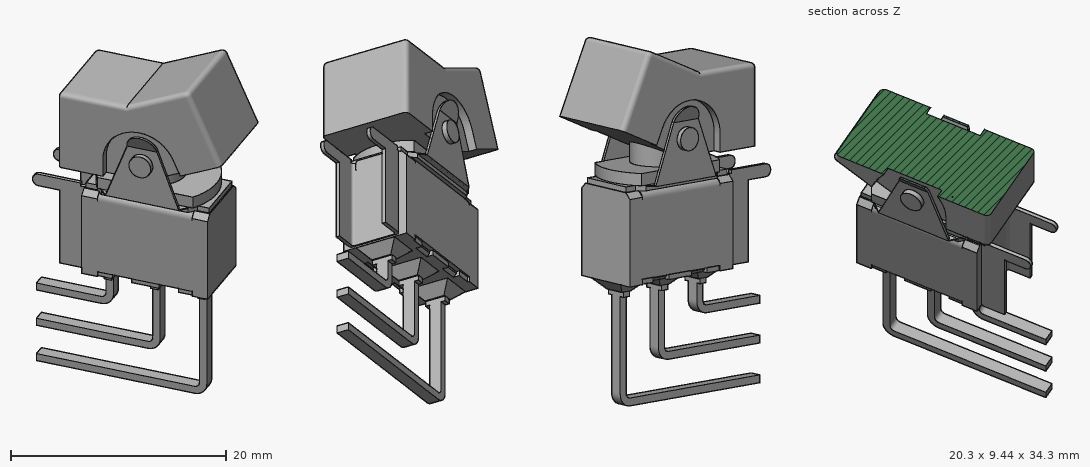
import cadquery as cq
import math


PIVOT_Z = 13.35
PIN_DIA = 2.2
PIN_TIP_Y = 4.6

BODY_X = 12.67
BODY_Y = 6.85
BODY_TOP = 8.85
BODY_CHAMFER = 0.55
SHOULDER_X = 9.55
SHOULDER_RADIUS = 0.75
NOTCH_X = 9.55
NOTCH_HEIGHT = 0.5
NOTCH_DEPTH = 0.17
GAP_X = 1.92
GAP_DEPTH = 0.5
GAP_BEVEL = 0.3

PLATE_TOP = 9.37
FOOT_THICKNESS = 0.1
PLATE_END_HALF_Y = 2.75
PLATE_HALF_X = 6.2
SHEET = 0.38

TAB_OUTER_Y = 4.1
TAB_THICKNESS = 0.27
TAB_BASE_HALF_X = 3.7
TAB_NECK_HALF_X = 1.5
TAB_NECK_Z = PIVOT_Z + 1.68
TONGUE_TIP_Y = 4.72
TONGUE_TIP_Z = PIVOT_Z + 3.12

LEG_FOLD_X = -6.75
FOLD_INNER_RADIUS = 0.27
LEG_EDGE_X = -8.85
LEG_TIP_X = -11.6
LEG_TOP = 9.2
LEG_BOTTOM = 0.17
LEG_OUTER_Y = 2.7
ARM_HEIGHT = 1.25
BEND_HALF_Y = 2.03
BEND_RADIUS = 0.7

FLANGE_RADIUS = 5.85
FLANGE_Y = 6.63
FLANGE_TOP = 10.55
NECK_DIA = 5.2

ROCKER_Y = 9.3
ROCKER_TURN = 25.0
ROCKER_REACH = 8.25
ROCKER_BOTTOM = -1.75
ROCKER_END_TOP = 6.15
VALLEY_HEIGHT = 6.3
ROCKER_FILLET = 0.48
RECESS_RADIUS = 3.7
RECESS_FLOOR_Y = TAB_OUTER_Y - TAB_THICKNESS

TERMINAL_PITCH = 4.7
TERMINAL_THICKNESS = 0.75
TERMINAL_WIDTH = 1.25
TERMINAL_END_X = -12.1
FIRST_ROW_Z = -4.15
ROW_STEP = 3.78
TERMINAL_OUTER_RADIUS = 1.25
COLLAR_WIDTH = 2.13
COLLAR_BOTTOM = -1.55
SEAL_LENGTH = 4.2
SEAL_WIDTH = 3.2
SEAL_HEIGHT = 1.05
SEAL_TAPER = 45.0

SIDES = (-1, 1)


def box(x0, x1, y0, y1, z0, z1):
    """Box between two corners, given in any order."""
    size = (abs(x1 - x0), abs(y1 - y0), abs(z1 - z0))
    centre = ((x0 + x1) / 2, (y0 + y1) / 2, (z0 + z1) / 2)
    return cq.Workplane("XY").box(*size).translate(centre)


def xz_slab(outline, y0, y1):
    """Extrude a closed XZ outline from y0 to y1, given in any order."""
    slab = outline(cq.Workplane("XZ")).close().extrude(abs(y1 - y0))
    return slab.translate((0, max(y0, y1), 0))


def make_gap(gap_x, face_y, side):
    """Cutter for the space between two seals, with a bevelled back lower edge."""
    back_y = face_y - side * GAP_DEPTH
    section = [
        (face_y, 0), (back_y - side * GAP_BEVEL, 0), (back_y, GAP_BEVEL),
        (back_y, NOTCH_HEIGHT), (face_y, NOTCH_HEIGHT),
    ]
    gap = cq.Workplane("YZ").polyline(section).close().extrude(GAP_X / 2, both=True)
    return gap.translate((gap_x, 0, 0))


def make_body():
    half_x = BODY_X / 2
    half_y = BODY_Y / 2
    shoulder = box(-SHOULDER_X / 2, SHOULDER_X / 2, -half_y, half_y, 0, BODY_TOP)
    shoulder = shoulder.edges("|X and >Z").fillet(SHOULDER_RADIUS)
    body = box(-half_x, half_x, -half_y, half_y, 0, BODY_TOP)
    body = body.edges("|X and >Z").chamfer(BODY_CHAMFER)
    body = body.cut(box(-SHOULDER_X / 2, SHOULDER_X / 2, -half_y, half_y, 0, BODY_TOP)).union(shoulder)
    for side in SIDES:
        face_y = side * half_y
        body = body.cut(box(-NOTCH_X / 2, NOTCH_X / 2, face_y, face_y - side * NOTCH_DEPTH, 0, NOTCH_HEIGHT))
        for gap_side in SIDES:
            gap_x = gap_side * TERMINAL_PITCH / 2
            body = body.cut(make_gap(gap_x, face_y, side))
    return body


def make_top_plate():
    flare_x = TAB_BASE_HALF_X + TAB_OUTER_Y - PLATE_END_HALF_Y
    plan = [
        (PLATE_HALF_X, PLATE_END_HALF_Y), (flare_x, PLATE_END_HALF_Y), (TAB_BASE_HALF_X, TAB_OUTER_Y),
        (-TAB_BASE_HALF_X, TAB_OUTER_Y), (-flare_x, PLATE_END_HALF_Y), (-PLATE_HALF_X, PLATE_END_HALF_Y),
    ]
    plan += [(-x, -y) for x, y in plan]
    plate = cq.Workplane("XY").workplane(offset=BODY_TOP).polyline(plan).close().extrude(PLATE_TOP - BODY_TOP)
    for side in SIDES:
        plate = plate.cut(box(-PLATE_HALF_X, PLATE_HALF_X, side * BODY_Y / 2, side * TAB_OUTER_Y,
                              BODY_TOP, PLATE_TOP - FOOT_THICKNESS))
    return plate


def make_tab(side):
    """Tapered pivot tab whose round tongue leans outward."""
    tab = xz_slab(
        lambda wp: wp.polyline([
            (-TAB_BASE_HALF_X, PLATE_TOP - FOOT_THICKNESS), (TAB_BASE_HALF_X, PLATE_TOP - FOOT_THICKNESS),
            (TAB_NECK_HALF_X, TAB_NECK_Z), (-TAB_NECK_HALF_X, TAB_NECK_Z),
        ]),
        side * RECESS_FLOOR_Y, side * TAB_OUTER_Y)
    section = [
        (side * RECESS_FLOOR_Y, TAB_NECK_Z), (side * TAB_OUTER_Y, TAB_NECK_Z),
        (side * TONGUE_TIP_Y, TONGUE_TIP_Z), (side * (TONGUE_TIP_Y - TAB_THICKNESS), TONGUE_TIP_Z),
    ]
    strip = cq.Workplane("YZ").polyline(section).close().extrude(TAB_NECK_HALF_X, both=True)
    outline = xz_slab(
        lambda wp: wp.moveTo(-TAB_NECK_HALF_X, TAB_NECK_Z)
        .threePointArc((0, TONGUE_TIP_Z), (TAB_NECK_HALF_X, TAB_NECK_Z)),
        side * RECESS_FLOOR_Y, side * TONGUE_TIP_Y)
    return tab.union(strip.intersect(outline))


def make_leg(side):
    """Mounting leg with a round-ended arm at its top."""
    arm_radius = ARM_HEIGHT / 2
    return xz_slab(
        lambda wp: wp.moveTo(LEG_FOLD_X, LEG_BOTTOM)
        .lineTo(LEG_FOLD_X, LEG_TOP)
        .lineTo(LEG_TIP_X + arm_radius, LEG_TOP)
        .threePointArc((LEG_TIP_X, LEG_TOP - arm_radius), (LEG_TIP_X + arm_radius, LEG_TOP - ARM_HEIGHT))
        .lineTo(LEG_EDGE_X, LEG_TOP - ARM_HEIGHT)
        .lineTo(LEG_EDGE_X, LEG_BOTTOM),
        side * LEG_OUTER_Y, side * (LEG_OUTER_Y - SHEET))


def make_end_wall():
    """End wall of the bracket, folded round into both legs and rolled over into the top plate."""
    wall_x = LEG_FOLD_X + FOLD_INNER_RADIUS
    outer_radius = FOLD_INNER_RADIUS + SHEET
    fold_y = LEG_OUTER_Y - outer_radius
    wall = box(wall_x, wall_x + SHEET, -fold_y, fold_y, LEG_BOTTOM, BODY_TOP - BEND_RADIUS)
    for side in SIDES:
        fold = cq.Workplane("XY").circle(outer_radius).circle(FOLD_INNER_RADIUS).extrude(BODY_TOP - LEG_BOTTOM)
        fold = fold.translate((LEG_FOLD_X, side * fold_y, LEG_BOTTOM))
        quarter = box(LEG_FOLD_X, wall_x + SHEET, side * fold_y, side * LEG_OUTER_Y, LEG_BOTTOM, BODY_TOP)
        wall = wall.union(fold.intersect(quarter))
    bend = box(wall_x, -BODY_X / 2 + BEND_RADIUS, -BEND_HALF_Y, BEND_HALF_Y, BODY_TOP - BEND_RADIUS, PLATE_TOP)
    return wall.union(bend.edges("|Y and <X and >Z").fillet(BEND_RADIUS))


def make_bracket():
    bracket = make_top_plate().union(make_end_wall())
    for side in SIDES:
        bracket = bracket.union(make_tab(side)).union(make_leg(side))
    return bracket


def make_bezel():
    flange = cq.Workplane("XY").workplane(offset=PLATE_TOP).circle(FLANGE_RADIUS).extrude(FLANGE_TOP - PLATE_TOP)
    flange = flange.intersect(box(-FLANGE_RADIUS, FLANGE_RADIUS, -FLANGE_Y / 2, FLANGE_Y / 2, PLATE_TOP, FLANGE_TOP))
    neck = cq.Workplane("XY").workplane(offset=PLATE_TOP).circle(NECK_DIA / 2).extrude(PIVOT_Z - PLATE_TOP)
    return flange.union(neck)


def make_pin():
    return cq.Workplane("XZ").center(0, PIVOT_Z).circle(PIN_DIA / 2).extrude(PIN_TIP_Y, both=True)


def mirrored(point):
    """Reflect an (x, z) point about the rocker's leaning axis through the pivot."""
    turn = math.radians(ROCKER_TURN)
    x, z = point
    return (-x * math.cos(turn) - z * math.sin(turn), z * math.cos(turn) - x * math.sin(turn))


def axis_point(height):
    """Point on the rocker's leaning axis, measured from the pivot."""
    lean = math.radians(ROCKER_TURN / 2)
    return (-height * math.sin(lean), height * math.cos(lean))


def make_recess(side):
    """Arched recess that houses a pivot tab in a side of the rocker."""
    leg_end = (-RECESS_RADIUS, 2 * ROCKER_BOTTOM)
    return xz_slab(
        lambda wp: wp.moveTo(*leg_end)
        .lineTo(-RECESS_RADIUS, 0)
        .threePointArc(axis_point(RECESS_RADIUS), mirrored((-RECESS_RADIUS, 0)))
        .lineTo(*mirrored(leg_end)),
        side * RECESS_FLOOR_Y, side * ROCKER_Y)


def make_rocker():
    half_y = ROCKER_Y / 2
    lean = ROCKER_TURN / 2
    valley = axis_point(VALLEY_HEIGHT)
    overlap_x = ROCKER_REACH / 2
    end_slope = (valley[1] - ROCKER_END_TOP) / (valley[0] + ROCKER_REACH)
    overlap_top = valley[1] + end_slope * (overlap_x - valley[0])
    wing = xz_slab(
        lambda wp: wp.polyline([
            (overlap_x, ROCKER_BOTTOM), (-ROCKER_REACH, ROCKER_BOTTOM),
            (-ROCKER_REACH, ROCKER_END_TOP), (overlap_x, overlap_top),
        ]),
        -half_y, half_y)
    rounded_edges = wing.faces("<X").edges("|Z").add(wing.faces(">Z").edges("not >X"))
    wing = rounded_edges.fillet(ROCKER_FILLET)
    span = 2 * ROCKER_REACH
    wing = wing.rotate((0, 0, 0), (0, 1, 0), lean)
    wing = wing.intersect(box(-span, 0, -half_y, half_y, -span, span))
    rocker = wing.union(wing.mirror("YZ")).rotate((0, 0, 0), (0, 1, 0), -lean)
    for side in SIDES:
        rocker = rocker.cut(make_recess(side))
    return rocker.translate((0, 0, PIVOT_Z))


def make_terminal(index):
    x = (index - 1) * TERMINAL_PITCH
    row_z = FIRST_ROW_Z - index * ROW_STEP
    half = TERMINAL_THICKNESS / 2
    seal = cq.Workplane("XY").center(x, 0).rect(SEAL_WIDTH, SEAL_LENGTH)
    seal = seal.extrude(-SEAL_HEIGHT, taper=SEAL_TAPER)
    collar = box(x - half, x + half, -COLLAR_WIDTH / 2, COLLAR_WIDTH / 2, COLLAR_BOTTOM, 0)
    inner_radius = TERMINAL_OUTER_RADIUS - TERMINAL_THICKNESS
    bend_x = x + half - TERMINAL_OUTER_RADIUS
    bend_z = row_z - half + TERMINAL_OUTER_RADIUS
    diagonal = math.sqrt(0.5)
    lead = xz_slab(
        lambda wp: wp.moveTo(TERMINAL_END_X, row_z - half)
        .lineTo(bend_x, row_z - half)
        .threePointArc((bend_x + TERMINAL_OUTER_RADIUS * diagonal, bend_z - TERMINAL_OUTER_RADIUS * diagonal),
                       (x + half, bend_z))
        .lineTo(x + half, 0)
        .lineTo(x - half, 0)
        .lineTo(x - half, bend_z)
        .threePointArc((bend_x + inner_radius * diagonal, bend_z - inner_radius * diagonal),
                       (bend_x, row_z + half))
        .lineTo(TERMINAL_END_X, row_z + half),
        -TERMINAL_WIDTH / 2, TERMINAL_WIDTH / 2)
    return seal.union(collar).union(lead)


result = make_body().union(make_bracket()).union(make_bezel()).union(make_rocker()).union(make_pin())
for terminal_index in range(3):
    result = result.union(make_terminal(terminal_index))